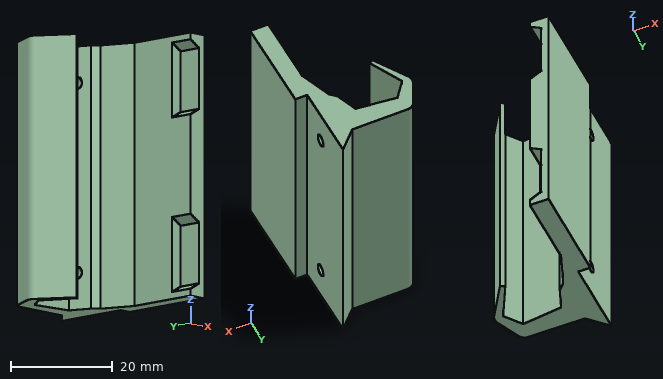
import cadquery as cq
import math

width = 22.95
depth = 36.3
length = 52.8

plate_thickness = 4.0
plate_inner_x = width - plate_thickness
shoulder_y = 20.2
back_x = 20.4

hook_top_y = 32.3
ridge_base_x = 16.4
bend_radius = 2.0
top_bend = (3.0, hook_top_y)
side_bend = (-0.25, 25.4)

hole_diameter = 2.5
hole_y = 26.25
hole_end_inset = 7.4

pocket_width = 4.95
pocket_depth = 2.45
pocket_length = 15.0
pocket_end_inset = 1.4
pocket_slope = pocket_depth * math.tan(math.radians(30))


def make_hook_profile():
    """Extrude the constant cross-section and round the two outer bends."""
    outline = [
        (width, 0),
        (width, shoulder_y),
        (back_x, shoulder_y),
        (back_x, depth),
        (ridge_base_x, hook_top_y),
        top_bend,
        side_bend,
        (4.75, 17.5),
        (5.65, 18.0),
        (2.0, 25.15),
        (4.75, 28.65),
        (13.35, 27.6),
        (15.05, 23.2),
        (16.35, 21.9),
        (plate_inner_x, 15.1),
        (plate_inner_x, 0),
    ]
    body = cq.Workplane("XY").polyline(outline).close().extrude(length)
    for x, y in (top_bend, side_bend):
        bend_edge = cq.selectors.NearestToPointSelector((x, y, length / 2))
        body = body.edges("|Z").edges(bend_edge).fillet(bend_radius)
    return body


def make_screw_hole(z):
    """Cutter along X from the middle of the hook opening out past the back face."""
    start_x = width / 2
    return (
        cq.Workplane("YZ", origin=(start_x, hole_y, z))
        .circle(hole_diameter / 2)
        .extrude(width - start_x)
    )


def make_pocket(z_bottom):
    """Trapezoidal cutter, narrowing towards its floor, open at the plate's free edge."""
    z_top = z_bottom + pocket_length
    floor_x = plate_inner_x + pocket_depth
    trapezoid = [
        (plate_inner_x, z_bottom),
        (floor_x, z_bottom + pocket_slope),
        (floor_x, z_top - pocket_slope),
        (plate_inner_x, z_top),
    ]
    return cq.Workplane("XZ").polyline(trapezoid).close().extrude(-pocket_width)


result = make_hook_profile()

for hole_z in (hole_end_inset, length - hole_end_inset):
    result = result.cut(make_screw_hole(hole_z))

for pocket_z in (pocket_end_inset, length - pocket_end_inset - pocket_length):
    result = result.cut(make_pocket(pocket_z))